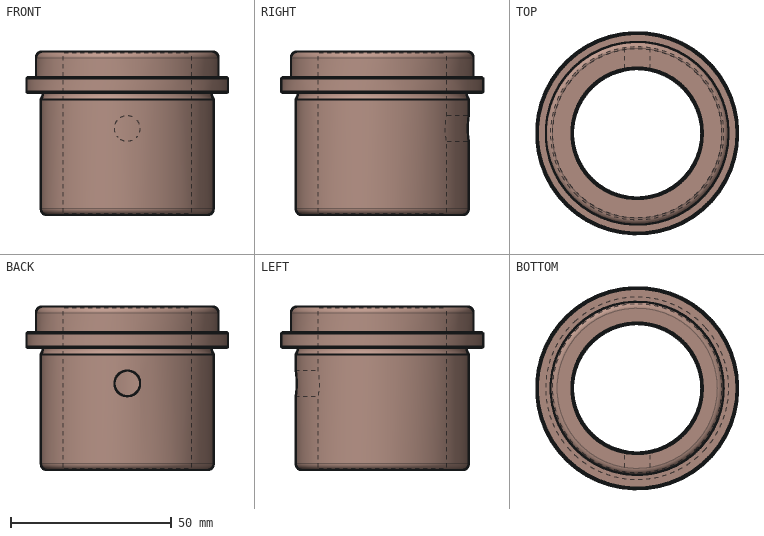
import cadquery as cq
import math

total_height = 51.0
flange_diameter = 63.0
flange_thickness = 5.0
flange_chamfer = 0.5
head_diameter = 57.0
head_height = 8.0
body_diameter = 54.0
neck_depth = 0.6
neck_height = 2.0
edge_radius = 2.0
bore_diameter = 40.0
bore_chamfer = 0.5
hole_diameter = 8.0
hole_height = 27.0

flange_radius = flange_diameter / 2
head_radius = head_diameter / 2
body_radius = body_diameter / 2
neck_radius = body_radius - neck_depth
flange_top = total_height - head_height
flange_bottom = flange_top - flange_thickness
body_top = flange_bottom - neck_height


def make_body():
    """Body with a rounded lower rim."""
    return cq.Workplane("XY").circle(body_radius).extrude(body_top).faces("<Z").edges().fillet(edge_radius)


def make_neck():
    """Concave relief curving from the body rim to a vertical tangent under the flange."""
    arc_radius = (neck_height**2 + neck_depth**2) / (2 * neck_depth)
    half_angle = math.asin(neck_height / arc_radius) / 2
    arc_middle = (
        neck_radius + arc_radius * (1 - math.cos(half_angle)),
        flange_bottom - arc_radius * math.sin(half_angle),
    )
    profile = (
        cq.Workplane("XZ")
        .moveTo(0, flange_bottom)
        .lineTo(neck_radius, flange_bottom)
        .threePointArc(arc_middle, (body_radius, body_top))
        .lineTo(0, body_top)
        .close()
    )
    return profile.revolve(360, (0, 0, 0), (0, 1, 0))


def make_flange():
    """Collar chamfered on both outer edges."""
    collar = cq.Workplane("XY").workplane(offset=flange_bottom).circle(flange_radius)
    return collar.extrude(flange_thickness).edges().chamfer(flange_chamfer)


def make_head():
    """Head with a rounded upper rim."""
    head = cq.Workplane("XY").workplane(offset=flange_top).circle(head_radius).extrude(head_height)
    return head.faces(">Z").edges().fillet(edge_radius)


def make_bore():
    """Through bore, widened by a chamfer at each end."""
    mouth_radius = bore_diameter / 2 + bore_chamfer
    profile = [
        (0, 0),
        (mouth_radius, 0),
        (bore_diameter / 2, bore_chamfer),
        (bore_diameter / 2, total_height - bore_chamfer),
        (mouth_radius, total_height),
        (0, total_height),
    ]
    return cq.Workplane("XZ").polyline(profile).close().revolve(360, (0, 0, 0), (0, 1, 0))


def make_radial_hole():
    """Cylinder from the axis out through the +Y wall."""
    hole = cq.Workplane("XZ", origin=(0, 0, hole_height)).circle(hole_diameter / 2)
    return hole.extrude(-flange_radius)


bushing = make_body().union(make_neck()).union(make_flange()).union(make_head())
result = bushing.cut(make_bore()).cut(make_radial_hole())